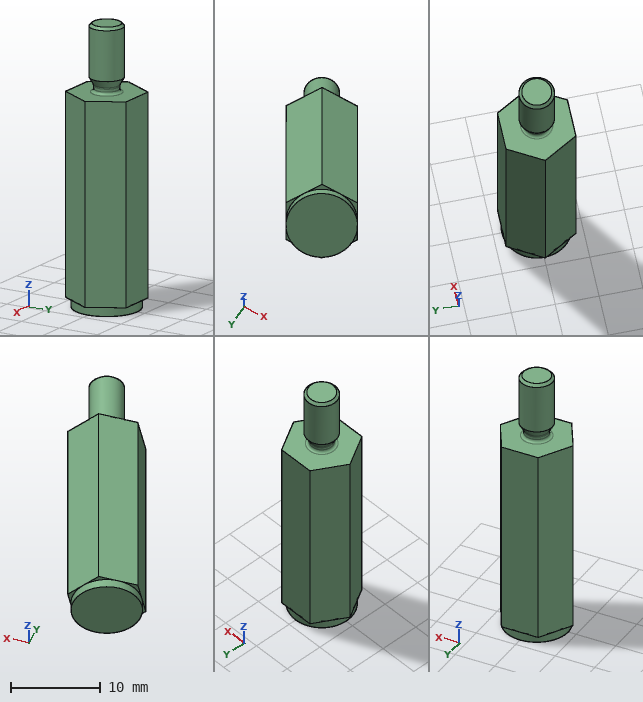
import cadquery as cq
import math

total_height = 33.0
across_flats = 8.0
foot_height = 1.05
stud_length = 8.0

stud_diameter = 4.0
tip_chamfer = 0.33
neck_diameter = 2.9
neck_length = 0.33
fillet_radius = 0.35
cone_angle = math.radians(30)

across_corners = across_flats / math.cos(math.pi / 6)
hex_top = total_height - stud_length
hex_height = hex_top - foot_height
stud_radius = stud_diameter / 2
neck_radius = neck_diameter / 2


def fillet_offsets(angle):
    """Radial and axial travel along a neck fillet, starting tangent to the neck."""
    return fillet_radius * (1 - math.cos(angle)), fillet_radius * math.sin(angle)


def make_stud():
    """Revolve the stud with its relief neck, run-out cone and chamfered tip."""
    neck_bottom = hex_top + fillet_radius
    neck_top = neck_bottom + neck_length

    base_radial, base_axial = fillet_offsets(math.pi / 4)
    base_mid = (neck_radius + base_radial, neck_bottom - base_axial)

    mid_radial, mid_axial = fillet_offsets(cone_angle / 2)
    upper_mid = (neck_radius + mid_radial, neck_top + mid_axial)
    end_radial, end_axial = fillet_offsets(cone_angle)
    cone_start_radius = neck_radius + end_radial
    cone_start = neck_top + end_axial
    cone_end = cone_start + (stud_radius - cone_start_radius) / math.tan(cone_angle)

    profile = (
        cq.Workplane("XZ")
        .moveTo(0, hex_top)
        .lineTo(neck_radius + fillet_radius, hex_top)
        .threePointArc(base_mid, (neck_radius, neck_bottom))
        .lineTo(neck_radius, neck_top)
        .threePointArc(upper_mid, (cone_start_radius, cone_start))
        .lineTo(stud_radius, cone_end)
        .lineTo(stud_radius, total_height - tip_chamfer)
        .lineTo(stud_radius - tip_chamfer, total_height)
        .lineTo(0, total_height)
        .close()
    )
    return profile.revolve(360, (0, 0, 0), (0, 1, 0))


foot = cq.Workplane("XY").circle(across_flats / 2).extrude(foot_height)

body = (
    cq.Workplane("XY")
    .workplane(offset=foot_height)
    .polygon(6, across_corners)
    .extrude(hex_height)
)

result = foot.union(body).union(make_stud())